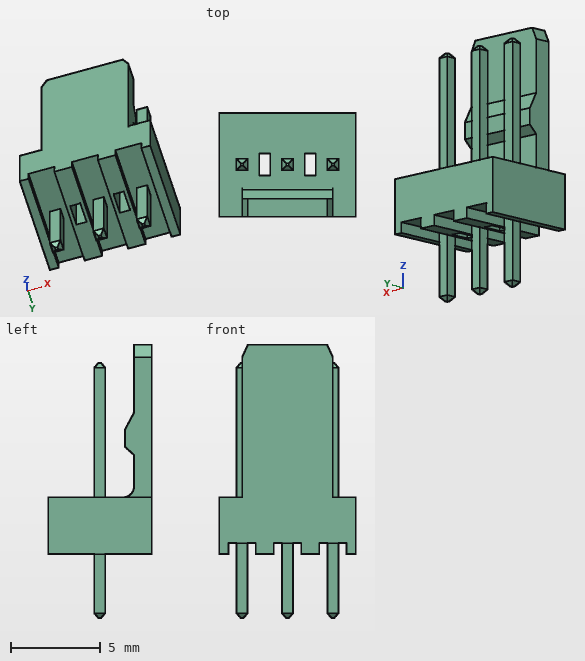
import cadquery as cq

PIN_COUNT = 3
PITCH = 2.53
PIN_SIDE = 0.63
PIN_TOP = 14.24
PIN_TIP_HEIGHT = 0.27
PIN_TIP_SIDE = 0.15
PIN_Y = 2.91

BASE_WIDTH = 7.61
BASE_DEPTH = 5.8
BASE_BOTTOM = 3.57
BASE_TOP = 6.75
CHANNEL_WIDTH = 1.51
CHANNEL_HEIGHT = 0.61
SLOT_WIDTH = 0.6
SLOT_DEPTH = 1.2

WALL_WIDTH = 2 * PITCH
WALL_TOP = 15.26
WALL_THICKNESS = 1.0
ROOT_RADIUS = 0.6
CORNER_WIDTH = 0.32
CORNER_HEIGHT = 0.7
LATCH_REACH = 0.5
LATCH_START = 9.1
LATCH_FLAT_START = 9.55
LATCH_FLAT_END = 10.51
LATCH_END = 11.46


def row_positions(count):
    """X positions of equally pitched features centred on the part."""
    return [(i - (count - 1) / 2) * PITCH for i in range(count)]


def make_base():
    base_height = BASE_TOP - BASE_BOTTOM
    base = cq.Workplane("XY").box(BASE_WIDTH, BASE_DEPTH, base_height, centered=(True, False, False))
    base = base.translate((0, 0, BASE_BOTTOM))

    for x in row_positions(PIN_COUNT):
        channel = cq.Workplane("XY").box(
            CHANNEL_WIDTH, BASE_DEPTH, CHANNEL_HEIGHT, centered=(True, False, False)
        )
        base = base.cut(channel.translate((x, 0, BASE_BOTTOM)))

    for x in row_positions(PIN_COUNT - 1):
        slot = cq.Workplane("XY").box(SLOT_WIDTH, SLOT_DEPTH, base_height, centered=(True, True, False))
        base = base.cut(slot.translate((x, PIN_Y, BASE_BOTTOM)))
    return base


def make_wall():
    latch_face = WALL_THICKNESS + LATCH_REACH
    half_width = WALL_WIDTH / 2
    profile = (
        cq.Workplane("YZ")
        .moveTo(0, BASE_TOP)
        .lineTo(WALL_THICKNESS + ROOT_RADIUS, BASE_TOP)
        .radiusArc((WALL_THICKNESS, BASE_TOP + ROOT_RADIUS), ROOT_RADIUS)
        .lineTo(WALL_THICKNESS, LATCH_START)
        .lineTo(latch_face, LATCH_FLAT_START)
        .lineTo(latch_face, LATCH_FLAT_END)
        .lineTo(WALL_THICKNESS, LATCH_END)
        .lineTo(WALL_THICKNESS, WALL_TOP)
        .lineTo(0, WALL_TOP)
        .close()
    )
    wall = profile.extrude(half_width, both=True)

    for side in (-1, 1):
        corner = (
            cq.Workplane("XZ")
            .moveTo(side * half_width, WALL_TOP)
            .lineTo(side * (half_width - CORNER_WIDTH), WALL_TOP)
            .lineTo(side * half_width, WALL_TOP - CORNER_HEIGHT)
            .close()
            .extrude(-WALL_THICKNESS)
        )
        wall = wall.cut(corner)
    return wall


def make_tip(shoulder_z, end_z):
    """Square taper from the full pin section to its small flat end."""
    return (
        cq.Workplane("XY", origin=(0, 0, shoulder_z))
        .rect(PIN_SIDE, PIN_SIDE)
        .workplane(offset=end_z - shoulder_z)
        .rect(PIN_TIP_SIDE, PIN_TIP_SIDE)
        .loft()
    )


def make_pin():
    upper_shoulder = PIN_TOP - PIN_TIP_HEIGHT
    shank_length = upper_shoulder - PIN_TIP_HEIGHT
    shank = cq.Workplane("XY").box(PIN_SIDE, PIN_SIDE, shank_length, centered=(True, True, False))
    shank = shank.translate((0, 0, PIN_TIP_HEIGHT))
    lower_tip = make_tip(PIN_TIP_HEIGHT, 0)
    upper_tip = make_tip(upper_shoulder, PIN_TOP)
    return shank.union(lower_tip).union(upper_tip)


result = make_base().union(make_wall())
pin = make_pin()
for pin_x in row_positions(PIN_COUNT):
    result = result.union(pin.translate((pin_x, PIN_Y, 0)))